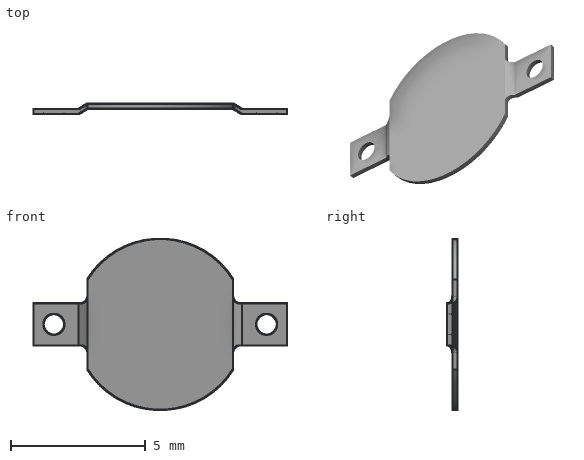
import cadquery as cq

disc_diameter = 6.35
flat_half_width = 2.7
overall_length = 9.4
sheet_thickness = 0.195
tab_offset = sheet_thickness
tab_height = 1.57
tab_bend_x = 3.02
root_fillet_radius = 0.25
hole_diameter = 0.76
hole_edge_distance = 0.76

half_length = overall_length / 2
hole_x = half_length - hole_edge_distance
forming_depth = sheet_thickness + tab_offset


def flat_blank():
    """Outline in XZ of the disc with flats and tabs, as deep in Y as the formed sheet."""
    disc = cq.Workplane("XZ").circle(disc_diameter / 2).extrude(forming_depth)
    flats = cq.Workplane("XZ").rect(2 * flat_half_width, disc_diameter).extrude(forming_depth)
    strip = cq.Workplane("XZ").rect(overall_length, tab_height).extrude(forming_depth)
    root_corners = cq.selectors.BoxSelector(
        (-flat_half_width - root_fillet_radius, -2 * forming_depth, -tab_height),
        (flat_half_width + root_fillet_radius, forming_depth, tab_height),
    )
    blank = disc.intersect(flats).union(strip)
    return blank.edges("|Y").edges(root_corners).fillet(root_fillet_radius)


def joggled_sheet():
    """Sheet section in XY, stepped towards -Y at both ends, swept along Z."""
    back_edge = [
        (-half_length, -tab_offset),
        (-tab_bend_x, -tab_offset),
        (-flat_half_width, 0),
        (flat_half_width, 0),
        (tab_bend_x, -tab_offset),
        (half_length, -tab_offset),
    ]
    front_edge = [(x, y - sheet_thickness) for x, y in reversed(back_edge)]
    section = cq.Workplane("XY").polyline(back_edge + front_edge).close()
    return section.extrude(disc_diameter / 2, both=True)


def tab_holes():
    """Through holes, one in each tab."""
    centres = [(-hole_x, 0), (hole_x, 0)]
    return cq.Workplane("XZ").pushPoints(centres).circle(hole_diameter / 2).extrude(forming_depth)


result = flat_blank().intersect(joggled_sheet()).cut(tab_holes())